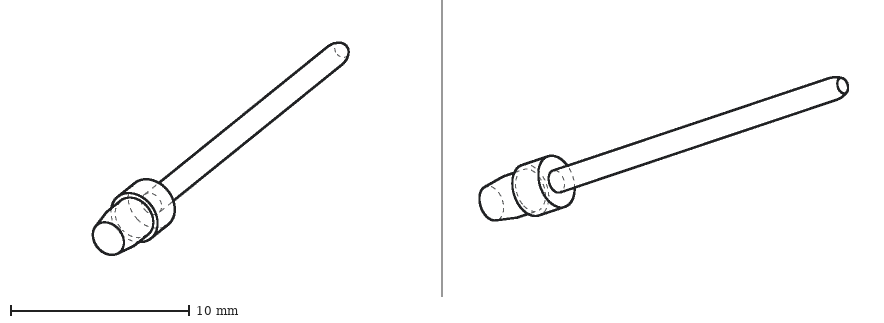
import cadquery as cq
import math

overall_length = 27.0
nose_length = 1.5
body_length = 1.5
collar_length = 2.0
tip_length = 0.75

nose_face_diameter = 2.0
body_diameter = 2.45
collar_diameter = 3.0
pin_diameter = 1.3
tip_face_diameter = 0.9

body_start = nose_length
collar_start = body_start + body_length
pin_start = collar_start + collar_length
tip_start = overall_length - tip_length

nose_face_radius = nose_face_diameter / 2
body_radius = body_diameter / 2
collar_radius = collar_diameter / 2
pin_radius = pin_diameter / 2
tip_face_radius = tip_face_diameter / 2


def tip_arc_midpoint():
    """Middle of the tip arc, which leaves the pin tangentially and ends at the tip face."""
    inset = pin_radius - tip_face_radius
    arc_radius = (tip_length**2 + inset**2) / (2 * inset)
    half_angle = math.asin(tip_length / arc_radius) / 2
    x = pin_radius - arc_radius * (1 - math.cos(half_angle))
    y = tip_start + arc_radius * math.sin(half_angle)
    return x, y


def turned_pin():
    """Half profile in the XY plane, revolved about the Y axis."""
    profile = (
        cq.Workplane("XY")
        .moveTo(0, 0)
        .lineTo(nose_face_radius, 0)
        .lineTo(body_radius, body_start)
        .lineTo(body_radius, collar_start)
        .lineTo(collar_radius, collar_start)
        .lineTo(collar_radius, pin_start)
        .lineTo(pin_radius, pin_start)
        .lineTo(pin_radius, tip_start)
        .threePointArc(tip_arc_midpoint(), (tip_face_radius, overall_length))
        .lineTo(0, overall_length)
        .close()
    )
    return profile.revolve(360, axisStart=(0, 0, 0), axisEnd=(0, 1, 0))


result = turned_pin()